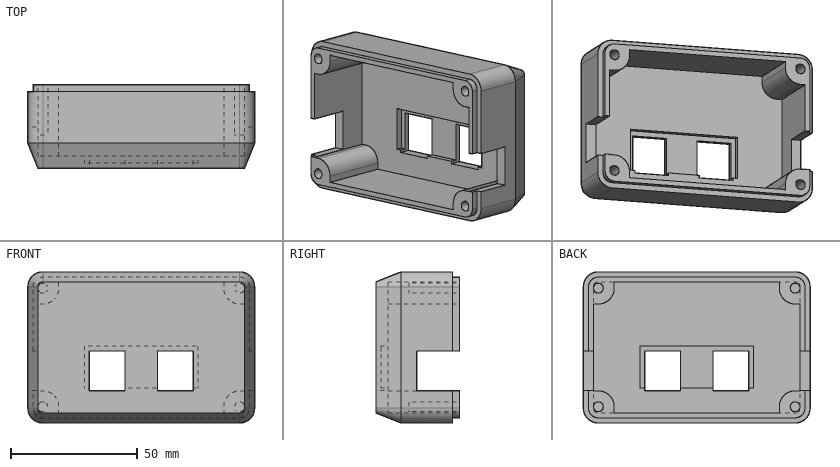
import cadquery as cq

width = 90.0
height = 60.0
body_depth = 30.4
lip_depth = 2.8
total_depth = body_depth + lip_depth
front_y = -total_depth / 2
body_back_y = front_y + body_depth
back_y = total_depth / 2

corner_radius = 6.0
taper_depth = 10.0
taper_inset = 4.0
lip_inset = 2.1

front_wall = 4.8
side_wall = 4.0
cavity_front_y = front_y + front_wall
cavity_width = width - 2 * side_wall
cavity_height = height - 2 * side_wall
cavity_corner_radius = corner_radius - lip_inset

opening_height = 15.6
opening_top_z = -1.5
opening_bottom_z = opening_top_z - opening_height
window_width = 14.1
window_spacing = 27.0
notch_depth = 16.9

window_rim_thickness = 2.1
pocket_side_margin = 1.9
pocket_top_margin = 2.0
ledge_rise = 1.0
pocket_half_width = (window_spacing + window_width) / 2 + pocket_side_margin
pocket_bottom_z = opening_bottom_z + ledge_rise
pocket_top_z = opening_top_z + pocket_top_margin

post_radius = 6.3
post_side_offset = 6.0
post_end_offset = 6.5
post_center_x = width / 2 - post_side_offset
post_center_z = height / 2 - post_end_offset
screw_hole_diameter = 3.9
screw_hole_depth = 20.0


def block(x_range, y_range, z_range):
    """Axis-aligned box between the given limits."""
    sizes = [high - low for low, high in (x_range, y_range, z_range)]
    return cq.Workplane("XY").box(*sizes, centered=False).translate((x_range[0], y_range[0], z_range[0]))


def rounded_prism(size_x, size_z, radius, y_start, y_end):
    """Rectangle with rounded corners, extruded along Y."""
    return (
        cq.Workplane("XZ", origin=(0, y_start, 0))
        .rect(size_x, size_z)
        .extrude(y_start - y_end)
        .edges("|Y")
        .fillet(radius)
    )


def rounded_outline(inset):
    """Outer outline moved inward, keeping its corner centres."""
    return (
        cq.Sketch()
        .rect(width - 2 * inset, height - 2 * inset)
        .vertices()
        .fillet(corner_radius - inset)
    )


def outer_body():
    taper_back_y = front_y + taper_depth
    taper = (
        cq.Workplane("XZ", origin=(0, front_y, 0))
        .placeSketch(
            rounded_outline(taper_inset),
            rounded_outline(0).moved(cq.Location(cq.Vector(0, 0, -taper_depth))),
        )
        .loft()
    )
    straight = rounded_prism(width, height, corner_radius, taper_back_y, body_back_y)
    lip = rounded_prism(
        width - 2 * lip_inset, height - 2 * lip_inset, corner_radius - lip_inset, body_back_y, back_y
    )
    return taper.union(straight).union(lip)


def cavity():
    return rounded_prism(cavity_width, cavity_height, cavity_corner_radius, cavity_front_y, back_y)


def corner_post(side_x, side_z):
    """Post filling one cavity corner, rounded towards the middle of the cavity."""
    inner_x = post_center_x - post_radius
    inner_z = post_center_z - post_radius
    post = block((inner_x, width / 2), (cavity_front_y, back_y), (inner_z, height / 2))
    post = post.edges("|Y and <X and <Z").fillet(post_radius)
    if side_x < 0:
        post = post.mirror("YZ")
    if side_z < 0:
        post = post.mirror("XY")
    return post.intersect(outer_body())


def screw_hole(side_x, side_z):
    return (
        cq.Workplane("XZ", origin=(side_x * post_center_x, back_y, side_z * post_center_z))
        .circle(screw_hole_diameter / 2)
        .extrude(screw_hole_depth)
    )


def jack_pocket():
    return block(
        (-pocket_half_width, pocket_half_width),
        (front_y + window_rim_thickness, cavity_front_y),
        (pocket_bottom_z, pocket_top_z),
    )


def window(center_x):
    half = window_width / 2
    return block(
        (center_x - half, center_x + half),
        (front_y, cavity_front_y),
        (opening_bottom_z, opening_top_z),
    )


def side_notches():
    return block((-width / 2, width / 2), (back_y - notch_depth, back_y), (opening_bottom_z, opening_top_z))


result = outer_body().cut(cavity())
for side_x in (-1, 1):
    for side_z in (-1, 1):
        result = result.union(corner_post(side_x, side_z))
        result = result.cut(screw_hole(side_x, side_z))
result = result.cut(jack_pocket())
for center_x in (-window_spacing / 2, window_spacing / 2):
    result = result.cut(window(center_x))
result = result.cut(side_notches())